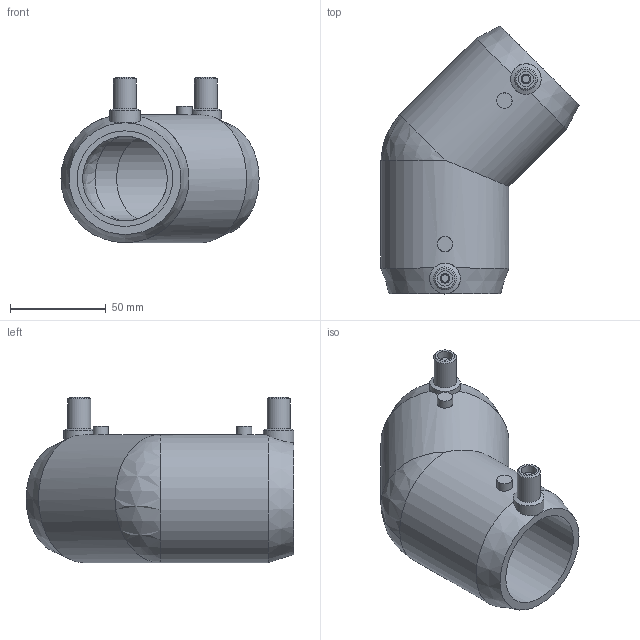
import cadquery as cq
import math

BEND_ANGLE = 45.0
LEG_LENGTH = 70.0
OUTER_DIAMETER = 67.0
MOUTH_DIAMETER = 58.5
TAPER_LENGTH = 13.5

SOCKET_DIAMETER = 50.0
SOCKET_DEPTH = 54.0
BORE_DIAMETER = 44.33

FIRST_TERMINAL_POSITION = 62.0
SECOND_TERMINAL_POSITION = 59.9
INDICATOR_POSITION = 44.0
INDICATOR_DIAMETER = 8.0
INDICATOR_TOP = 38.0

COLLAR_DIAMETER = 16.0
COLLAR_EDGE_HEIGHT = 35.7
COLLAR_SLOPE_RISE = 0.9
SHROUD_DIAMETER = 12.0
SHROUD_TOP = 53.0
SHROUD_CHAMFER = 0.8
SHROUD_HOLE_DIAMETER = 8.0
SHROUD_HOLE_DEPTH = 12.0
CONTACT_DIAMETER = 5.0
CONTACT_RECESS = 2.7
CONTACT_CHAMFER = 0.5

ROOT_CLEARANCE = 1.5
ROOT_HEIGHT = SOCKET_DIAMETER / 2 + ROOT_CLEARANCE

FIRST_DIRECTION = cq.Vector(0, -1, 0)
SECOND_DIRECTION = cq.Vector(math.sin(math.radians(BEND_ANGLE)), math.cos(math.radians(BEND_ANGLE)), 0)
LEGS = [
    (FIRST_DIRECTION, FIRST_TERMINAL_POSITION),
    (SECOND_DIRECTION, SECOND_TERMINAL_POSITION),
]


def rod(direction, diameter, start, end):
    """Cylinder along a leg axis, between two distances from the bend."""
    return cq.Workplane(cq.Solid.makeCylinder(diameter / 2, end - start, direction * start, direction))


def ball(diameter):
    """Sphere that rounds the bend."""
    return cq.Workplane("XY").sphere(diameter / 2)


def upright(point, diameter, bottom, top):
    """Vertical cylinder above a point on a leg axis."""
    base = cq.Vector(point.x, point.y, bottom)
    return cq.Workplane(cq.Solid.makeCylinder(diameter / 2, top - bottom, base))


def outer_leg(direction):
    """Outside of one leg, narrowing to its mouth."""
    taper_start = LEG_LENGTH - TAPER_LENGTH
    taper = cq.Solid.makeCone(
        OUTER_DIAMETER / 2, MOUTH_DIAMETER / 2, TAPER_LENGTH, direction * taper_start, direction
    )
    return rod(direction, OUTER_DIAMETER, 0, taper_start).union(cq.Workplane(taper))


def elbow_body():
    """Solid outside of the elbow."""
    body = ball(OUTER_DIAMETER)
    for direction, _ in LEGS:
        body = body.union(outer_leg(direction))
    return body


def elbow_cavity():
    """Through bore with a wider socket in each leg."""
    socket_floor = LEG_LENGTH - SOCKET_DEPTH
    cavity = ball(BORE_DIAMETER)
    for direction, _ in LEGS:
        cavity = cavity.union(rod(direction, BORE_DIAMETER, 0, LEG_LENGTH))
        cavity = cavity.union(rod(direction, SOCKET_DIAMETER, socket_floor, LEG_LENGTH))
    return cavity


def terminal(point):
    """Sloped collar and hollow shroud around a recessed contact pin."""
    hole_floor = SHROUD_TOP - SHROUD_HOLE_DEPTH
    contact_top = SHROUD_TOP - CONTACT_RECESS
    collar = upright(point, COLLAR_DIAMETER, ROOT_HEIGHT, COLLAR_EDGE_HEIGHT)
    slope_base = cq.Vector(point.x, point.y, COLLAR_EDGE_HEIGHT)
    slope = cq.Solid.makeCone(COLLAR_DIAMETER / 2, SHROUD_DIAMETER / 2, COLLAR_SLOPE_RISE, slope_base)
    collar = collar.union(cq.Workplane(slope))
    shroud = upright(point, SHROUD_DIAMETER, ROOT_HEIGHT, SHROUD_TOP)
    shroud = shroud.faces(">Z").chamfer(SHROUD_CHAMFER)
    hole = upright(point, SHROUD_HOLE_DIAMETER, hole_floor, SHROUD_TOP)
    contact = upright(point, CONTACT_DIAMETER, ROOT_HEIGHT, contact_top)
    contact = contact.faces(">Z").chamfer(CONTACT_CHAMFER)
    return collar.union(shroud).cut(hole).union(contact)


result = elbow_body().cut(elbow_cavity())
for leg_direction, terminal_position in LEGS:
    indicator_point = leg_direction * INDICATOR_POSITION
    result = result.union(upright(indicator_point, INDICATOR_DIAMETER, ROOT_HEIGHT, INDICATOR_TOP))
    result = result.union(terminal(leg_direction * terminal_position))